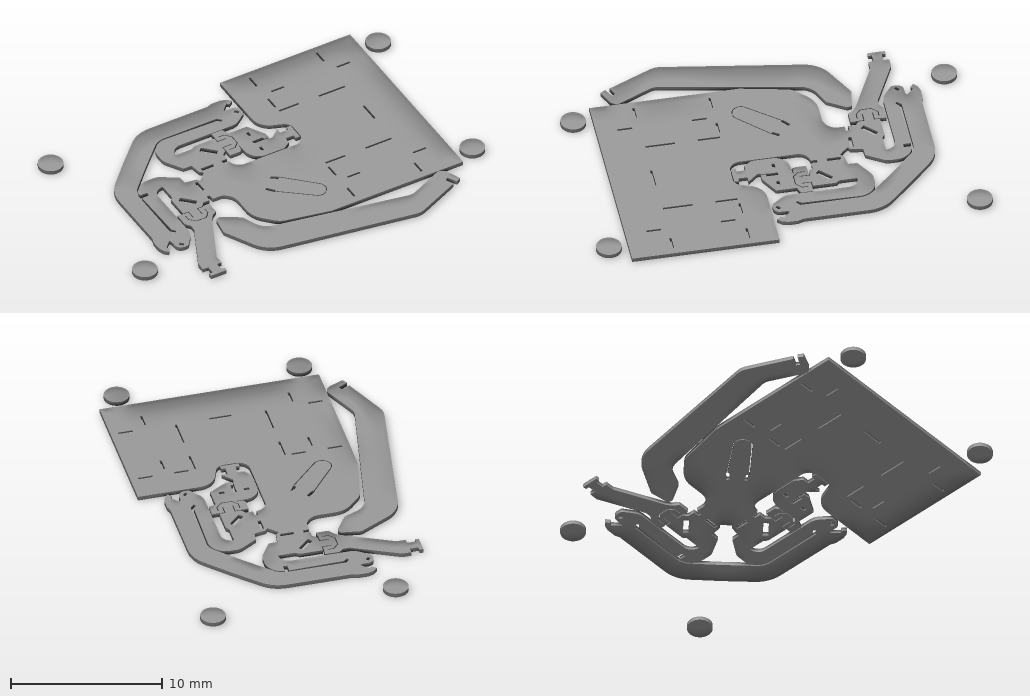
import cadquery as cq
import math

THICKNESS = 0.3
DISC_DIAMETER = 1.7
DISC_SPACING_X = 12.5
TOTAL_LENGTH = 26.7
DISC_SPACING_Y = TOTAL_LENGTH - DISC_DIAMETER

PANEL_LEFT = -7.75
PANEL_RIGHT = 7.25
PANEL_TOP = 11.21
PANEL_BOTTOM = 1.28
PANEL_MIDDLE = (PANEL_LEFT + PANEL_RIGHT) / 2

SLOT_WIDTH = 0.15
SHORT_SLOT = 1.0
MEDIUM_SLOT = 1.5
LONG_SLOT = 2.0
UPPER_SLOT_ROW = 8.35
LOWER_SLOT_ROW = 3.23
INNER_UPRIGHT_OFFSET = 3.07
OUTER_UPRIGHT_OFFSET = 5.05
INNER_LEVEL_OFFSET = 4.0
OUTER_LEVEL_OFFSET = 6.5

SLIT_WIDTH = 0.067

TONGUE_END_WIDTH = 0.21

MIRROR_OFFSET = 4.49

FOOT_SLOT_WIDTH = 0.25
CLOSED_SLOT_LENGTH = 0.93
OPEN_SLOT_LENGTH = 0.48
SLANTED_SLOT_LENGTH = 1.17
SLANTED_SLOT_WIDTH = 0.37
EYE_LENGTH = 0.32
EYE_WIDTH = 0.21
ARM_NOTCH_LENGTH = 0.61
ARM_NOTCH_WIDTH = 0.3

LINK_SLOT_LENGTH = 0.8
LINK_SLOT_WIDTH = 0.25
WINDOW_LENGTH = 0.37
WINDOW_WIDTH = 0.21
WINDOW_ROW = 0.32


def axis_point(x):
    """Point on the mirror line at the given x."""
    return (x, x - MIRROR_OFFSET)


def mirrored(body):
    """Copy of the body on the other side of the mirror line."""
    return body.mirror(cq.Vector(1, -1, 0), (MIRROR_OFFSET, 0, 0))


def rounded_plate(corners):
    """Flat plate from (x, y) or (x, y, radius) corners."""
    runs = []
    for i, corner in enumerate(corners):
        vertex = cq.Vector(*corner[:2])
        if len(corner) == 2:
            runs.append([vertex])
            continue
        radius = corner[2]
        back = (cq.Vector(*corners[i - 1][:2]) - vertex).normalized()
        ahead = (cq.Vector(*corners[(i + 1) % len(corners)][:2]) - vertex).normalized()
        half_angle = back.getAngle(ahead) / 2
        tangent_length = radius / math.tan(half_angle)
        to_middle = (back + ahead).normalized() * (radius / math.sin(half_angle) - radius)
        runs.append([vertex + back * tangent_length, vertex + to_middle, vertex + ahead * tangent_length])
    outline = cq.Workplane("XY").moveTo(*runs[0][-1].toTuple()[:2])
    for run in runs[1:] + runs[:1]:
        outline = outline.lineTo(*run[0].toTuple()[:2])
        if len(run) > 1:
            outline = outline.threePointArc(run[1].toTuple()[:2], run[2].toTuple()[:2])
    return outline.close().extrude(THICKNESS)


def slot(center, length, width, angle=0):
    """Cutter for a straight rectangular slot whose long side is turned by angle from X."""
    cutter = cq.Workplane("XY").rect(length, width).extrude(THICKNESS)
    return cutter.rotate((0, 0, 0), (0, 0, 1), angle).translate((*center, 0))


def slit(points, width=SLIT_WIDTH):
    """Cutter that follows straight runs between the points."""
    cutter = cq.Workplane("XY")
    for (x1, y1), (x2, y2) in zip(points, points[1:]):
        middle = ((x1 + x2) / 2, (y1 + y2) / 2)
        length = math.hypot(x2 - x1, y2 - y1) + width
        angle = math.degrees(math.atan2(y2 - y1, x2 - x1))
        cutter = cutter.union(slot(middle, length, width, angle))
    return cutter


def panel():
    """Base panel with the bay for the upper link and the neck towards the feet."""
    return rounded_plate([
        (PANEL_LEFT, PANEL_TOP),
        (PANEL_RIGHT, PANEL_TOP),
        (PANEL_RIGHT, 1.15),
        (6.51, -2.32, 1.34),
        (5.13, -3.68, 1.87),
        (2.25, -3.68, 1.07),
        (2.25, -5.63),
        (1.3, -5.98),
        axis_point(-0.03),
        (-0.88, -3.68),
        (-0.88, -2.2),
        (0.25, -2.2, 0.8),
        (0.25, 3.23, 0.8),
        (-1.85, 3.23, 0.67),
        (-2.55, 1.28, 1.34),
        (PANEL_LEFT, PANEL_BOTTOM),
    ])


def panel_slots():
    """Tab slots, all in pairs about the middle of the panel except the top middle one."""
    cutters = slot((PANEL_MIDDLE, UPPER_SLOT_ROW), MEDIUM_SLOT, SLOT_WIDTH)
    paired_slots = [
        (OUTER_UPRIGHT_OFFSET, 9.3, SHORT_SLOT, 90),
        (OUTER_UPRIGHT_OFFSET, 4.27, SHORT_SLOT, 90),
        (INNER_UPRIGHT_OFFSET, 7.3, LONG_SLOT, 90),
        (INNER_UPRIGHT_OFFSET, 4.0, MEDIUM_SLOT, 90),
        (OUTER_LEVEL_OFFSET, UPPER_SLOT_ROW, SHORT_SLOT, 0),
        (OUTER_LEVEL_OFFSET, LOWER_SLOT_ROW, SHORT_SLOT, 0),
        (INNER_LEVEL_OFFSET, LOWER_SLOT_ROW, SHORT_SLOT, 0),
    ]
    for offset, height, length, angle in paired_slots:
        for side in (-1, 1):
            center = (PANEL_MIDDLE + side * offset, height)
            cutters = cutters.union(slot(center, length, SLOT_WIDTH, angle))
    return cutters


def spring_tongue():
    """Rounded U-shaped slit that frees a tongue in the panel, with a wider slot at each end."""
    left_end = (2.5, -0.15)
    left_tangent = (4.45, 1.87)
    tip = (5.29, 1.92)
    right_tangent = (5.47, 1.17)
    right_end = (3.65, -1.1)
    path = (
        cq.Workplane("XY").moveTo(*left_end).lineTo(*left_tangent)
        .threePointArc(tip, right_tangent).lineTo(*right_end)
    )
    run = (left_tangent[0] - left_end[0], left_tangent[1] - left_end[1], 0)
    profile = cq.Plane(origin=(*left_end, THICKNESS / 2), xDir=(0, 0, 1), normal=run)
    cutter = cq.Workplane(profile).rect(THICKNESS, SLIT_WIDTH).sweep(path)
    cutter = cutter.union(slit([(2.54, -0.3), (2.35, -0.55)], TONGUE_END_WIDTH))
    return cutter.union(slit([(3.58, -1.12), (3.23, -1.42)], TONGUE_END_WIDTH))


def foot_and_brace():
    """One half of the brace, the curved arm joined to its hooked end, and the foot."""
    return rounded_plate([
        axis_point(-3.85),
        (-6.03, -6.1, 2.4),
        (-6.03, -0.67),
        (-6.17, -0.3),
        (-6.17, 0.37),
        (-6.03, 0.8),
        (-5.77, 1.07),
        (-5.55, 0.77),
        (-5.7, 0.6),
        (-5.18, 0.08),
        (-5.1, 0.3),
        (-5.1, 1.12, 0.45),
        (-4.3, 1.12, 0.27),
        (-3.55, 0.13, 1.07),
        (-3.55, -4.9, 0.72),
        (-2.8, -4.9),
        (-2.8, -3.68),
        (-3.0, -3.47),
        (-3.0, -1.85),
        (-2.62, -1.85),
        (-2.62, -1.4),
        (-1.92, -1.4),
        (-1.92, -1.85),
        (-1.58, -1.85),
        (-1.28, -2.2),
        (1.23, -2.2),
        axis_point(1.23),
        axis_point(-0.03),
        (-0.35, -4.2),
        (-0.5, -4.43),
        (-1.34, -4.57),
        (-1.35, -5.18),
        (-2.67, -5.98, 0.8),
        (-4.6, -5.98, 1.23),
        (-4.49, -0.85),
        (-4.27, -0.6),
        (-4.38, -0.45),
        (-4.67, -0.72),
        (-4.67, -5.25, 1.28),
        axis_point(-2.75),
    ])


def foot_cutters():
    """Openings of one foot: tab slots, slanted slot and the eye at the end of the curved arm."""
    closed_slot = slot((-0.67, -3.75), CLOSED_SLOT_LENGTH, FOOT_SLOT_WIDTH, 90)
    open_slot = slot((-0.67, -2.38), OPEN_SLOT_LENGTH, FOOT_SLOT_WIDTH, 90)
    slanted_slot = slot((-2.08, -2.83), SLANTED_SLOT_LENGTH, SLANTED_SLOT_WIDTH, 45)
    eye = slot((-4.65, 0.77), EYE_LENGTH, EYE_WIDTH, 45)
    return closed_slot.union(open_slot).union(slanted_slot).union(eye)


def clip_slits():
    """Slits that outline the tab of a foot clipped into the block of its link."""
    head = slit([(2.95, -6.0), (3.35, -6.0), (3.7, -6.35), (3.7, -7.08), (3.35, -7.48), (2.95, -7.48)])
    upper_neck = slit([(2.65, -5.9), (2.65, -6.4), (3.25, -6.4)])
    lower_neck = slit([(2.65, -7.58), (2.65, -7.1), (3.25, -7.1)])
    return head.union(upper_neck).union(lower_neck)


def lower_link():
    """Straight link with a clip block at the foot and a T-shaped end."""
    return rounded_plate([
        (2.65, -5.5),
        (3.5, -5.5),
        (3.76, -5.9),
        (4.1, -6.15),
        (7.55, -7.77),
        (8.2, -7.77),
        (8.2, -8.12),
        (8.78, -8.12),
        (8.78, -7.88),
        (9.05, -7.88),
        (9.05, -9.05),
        (8.78, -9.05),
        (8.78, -8.78),
        (8.2, -8.78),
        (8.2, -9.18),
        (7.58, -9.18),
        (4.38, -7.65),
        (3.95, -7.65),
        (3.6, -7.93),
        (2.65, -7.93),
    ])


def upper_link():
    """Bent link with a T-shaped end in the bay of the panel and a clip block at the foot."""
    return rounded_plate([
        (-1.63, 3.15),
        (-0.37, 3.15),
        (-0.37, 2.83),
        (-0.67, 2.83),
        (-0.67, 2.22),
        (-0.21, 2.22),
        (0.15, 1.65),
        (0.15, -0.77, 1.07),
        (-1.12, -0.77),
        (-1.0, -1.07),
        (-1.0, -1.82),
        (-3.5, -1.82),
        (-3.5, -1.0),
        (-3.0, -0.8),
        (-3.0, 0.6),
        (-1.74, 1.3),
        (-1.17, 1.3),
        (-1.17, 1.52),
        (-1.8, 2.22),
        (-1.35, 2.22),
        (-1.35, 2.83),
        (-1.63, 2.83),
    ])


def upper_link_cutters():
    """Two windows, a slot opened to the edge by a slit, and a slit above the clip block."""
    cutters = slot((-1.4, 0.55), LINK_SLOT_LENGTH, LINK_SLOT_WIDTH, 90)
    for x in (-2.27, -0.55):
        cutters = cutters.union(slot((x, WINDOW_ROW), WINDOW_LENGTH, WINDOW_WIDTH))
    slot_opening = slit([(-1.28, 1.4), (-1.28, 0.88)])
    block_slit = slit([(-1.52, -0.83), (-1.17, -0.83), (-1.1, -0.93)])
    return cutters.union(slot_opening).union(block_slit)


def make_sheet():
    """Panel, feet, brace and links, joined in one flat sheet by bridges beside the slits."""
    foot = foot_and_brace()
    openings = foot_cutters()
    clip = clip_slits()
    arm_notch = slot((-0.27, -8.8), ARM_NOTCH_LENGTH, ARM_NOTCH_WIDTH, 90)
    sheet = panel().union(foot).union(mirrored(foot)).cut(openings).cut(mirrored(openings))
    sheet = sheet.union(lower_link()).union(upper_link().cut(upper_link_cutters()))
    sheet = sheet.cut(clip).cut(mirrored(clip)).cut(arm_notch)
    return sheet.cut(panel_slots()).cut(spring_tongue()).solids()


def make_side_arm():
    """Separate bent arm beside the panel, with a hooked upper end."""
    return rounded_plate([
        (8.6, 10.2),
        (8.8, 9.85),
        (8.17, 9.5),
        (8.3, 9.26),
        (8.9, 9.53),
        (10.39, 6.22, 1.34),
        (8.6, -4.55, 2.14),
        (5.6, -6.11),
        (4.2, -5.9, 0.15),
        (4.1, -5.55, 0.15),
        (4.9, -4.27, 0.27),
        (6.51, -3.6, 1.34),
        (8.5, 6.65, 1.07),
        (7.24, 9.37, 0.43),
        (7.55, 9.75),
    ])


def make_disc(x, y):
    """Loose round fiducial disc."""
    return cq.Workplane("XY").center(x, y).circle(DISC_DIAMETER / 2).extrude(THICKNESS)


sheet = make_sheet()
side_arm = make_side_arm()
discs = [
    make_disc(side_x * DISC_SPACING_X / 2, side_y * DISC_SPACING_Y / 2)
    for side_x in (-1, 1)
    for side_y in (-1, 1)
]

result = cq.Compound.makeCompound([sheet.val(), side_arm.val(), *[disc.val() for disc in discs]])